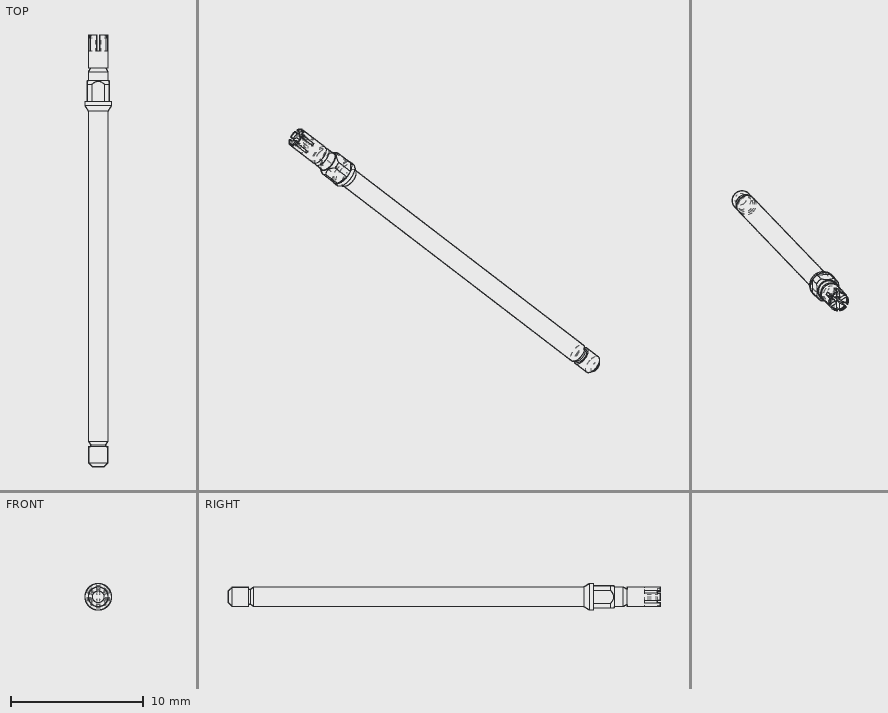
import cadquery as cq

length = 32.5
shaft_diameter = 1.5
collet_end = length / 2
tip_end = -length / 2

tip_diameter = 1.45
tip_length = 1.53
tip_chamfer_length = 0.3
tip_face_diameter = 0.88
tip_groove_width = 0.4
tip_groove_diameter = 1.1
tip_groove_wall_diameter = 1.17
tip_groove_floor_offset = 0.13

flange_diameter = 2.0
flange_offset = 5.0
flange_thickness = 0.32
flange_taper_length = 0.42

collar_diameter = 1.95
collar_offset = 3.45
collar_chamfer_length = 0.3
collar_chamfer_diameter = 1.62
across_flats = 1.7
flat_count = 4

collet_groove_diameter = 1.17
collet_groove_offset = 2.5
collet_groove_width = 0.3

slot_width = 0.208
slot_depth = 1.2
slot_count = 6
recess_diameter = 1.3
recess_depth = 0.23


def turned_body():
    """Revolve the half profile, listed as (diameter, y) from the tip to the collet."""
    tip_back = tip_end + tip_length
    flange_back = collet_end - flange_offset
    flange_front = flange_back - flange_thickness
    collar_back = collet_end - collar_offset
    groove_back = collet_end - collet_groove_offset
    stations = [
        (0, tip_end),
        (tip_face_diameter, tip_end),
        (tip_diameter, tip_end + tip_chamfer_length),
        (tip_diameter, tip_back),
        (tip_groove_wall_diameter, tip_back),
        (tip_groove_diameter, tip_back + tip_groove_floor_offset),
        (shaft_diameter, tip_back + tip_groove_width),
        (shaft_diameter, flange_front - flange_taper_length),
        (flange_diameter, flange_front),
        (flange_diameter, flange_back),
        (collar_diameter, flange_back),
        (collar_diameter, collar_back - collar_chamfer_length),
        (collar_chamfer_diameter, collar_back),
        (shaft_diameter, collar_back),
        (shaft_diameter, groove_back - collet_groove_width),
        (collet_groove_diameter, groove_back),
        (shaft_diameter, groove_back),
        (shaft_diameter, collet_end),
        (0, collet_end),
    ]
    half_profile = [(diameter / 2, y) for diameter, y in stations]
    return cq.Workplane("XY").polyline(half_profile).close().revolve(360, (0, 0), (0, 1))


def upright_block(width, front, back, bottom):
    """Block centred on X that spans front to back in Y and rises from bottom past the flange."""
    block = cq.Workplane("XY").box(width, back - front, flange_diameter, centered=(True, False, False))
    return block.translate((0, front, bottom))


def cut_around_axis(body, cutter, count):
    """Cut equally spaced copies of the cutter around the Y axis."""
    for i in range(count):
        body = body.cut(cutter.rotate((0, 0, 0), (0, 1, 0), i * 360 / count))
    return body


def collar_flat_cutter():
    """Block over one flat, as long as the collar."""
    return upright_block(
        flange_diameter, collet_end - flange_offset, collet_end - collar_offset, across_flats / 2
    )


def slot_cutter():
    """Slot from the axis outward, open at the collet's end face."""
    return upright_block(slot_width, collet_end - slot_depth, collet_end, 0)


def end_recess():
    """Shallow round recess in the collet's end face."""
    return cq.Workplane("XZ", origin=(0, collet_end, 0)).circle(recess_diameter / 2).extrude(recess_depth)


result = turned_body()
result = cut_around_axis(result, collar_flat_cutter(), flat_count)
result = cut_around_axis(result, slot_cutter(), slot_count)
result = result.cut(end_recess())